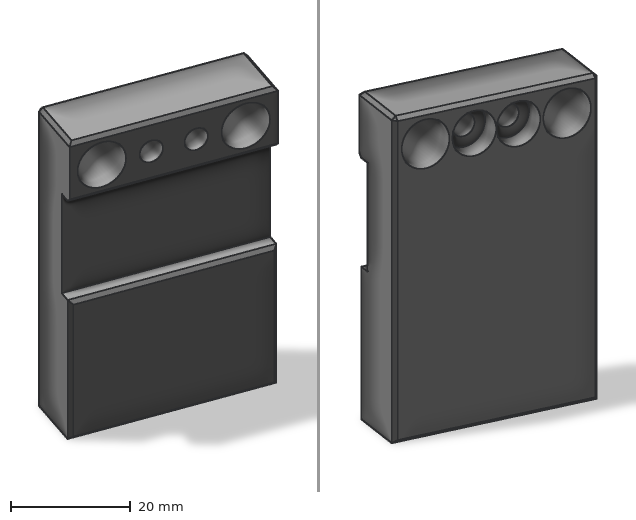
import cadquery as cq

thickness = 12.5
width = 38.75
height = 60.0
chamfer = 0.7

slot_depth = 3.0
upper_pad_height = 12.0
lower_pad_height = 28.0
slot_height = height - upper_pad_height - lower_pad_height

hole_row_z = height - 6.0
outer_hole_diameter = 9.0
outer_hole_spacing = 26.75
screw_hole_diameter = 4.3
screw_hole_spacing = 8.35
counterbore_diameter = 8.3
counterbore_depth = 4.0

slot_floor_x = thickness - slot_depth


def make_block():
    """Block with its -X face at X = 0, centred on Y and standing on Z = 0."""
    block = cq.Workplane("XY").box(thickness, width, height, centered=(False, True, False))
    slot = (
        cq.Workplane("XY")
        .box(slot_depth, width, slot_height, centered=(False, True, False))
        .translate((slot_floor_x, 0, lower_pad_height))
    )
    return block.cut(slot)


def chamfer_edges(block):
    """Bevel the top, the -X face, the lower pad's face and the upper pad's lower lip."""
    top_edges = block.faces(">Z").edges()
    back_edges = block.faces("<X").edges()
    lower_pad_point = (thickness, 0, lower_pad_height / 2)
    lower_pad_edges = block.faces(cq.NearestToPointSelector(lower_pad_point)).edges()
    lip_point = (thickness, 0, height - upper_pad_height)
    lip_edge = block.edges(cq.NearestToPointSelector(lip_point))
    edges = top_edges.add(back_edges).add(lower_pad_edges).add(lip_edge)
    return edges.chamfer(chamfer)


def cut_hole_pair(body, diameter, spacing, depth):
    """Cut two holes, mirrored about Y = 0, running in +X from the -X face."""
    for side in (-1, 1):
        hole = (
            cq.Workplane("YZ")
            .center(side * spacing / 2, hole_row_z)
            .circle(diameter / 2)
            .extrude(depth)
        )
        body = body.cut(hole)
    return body


result = chamfer_edges(make_block())
result = cut_hole_pair(result, outer_hole_diameter, outer_hole_spacing, thickness)
result = cut_hole_pair(result, screw_hole_diameter, screw_hole_spacing, thickness)
result = cut_hole_pair(result, counterbore_diameter, screw_hole_spacing, counterbore_depth)